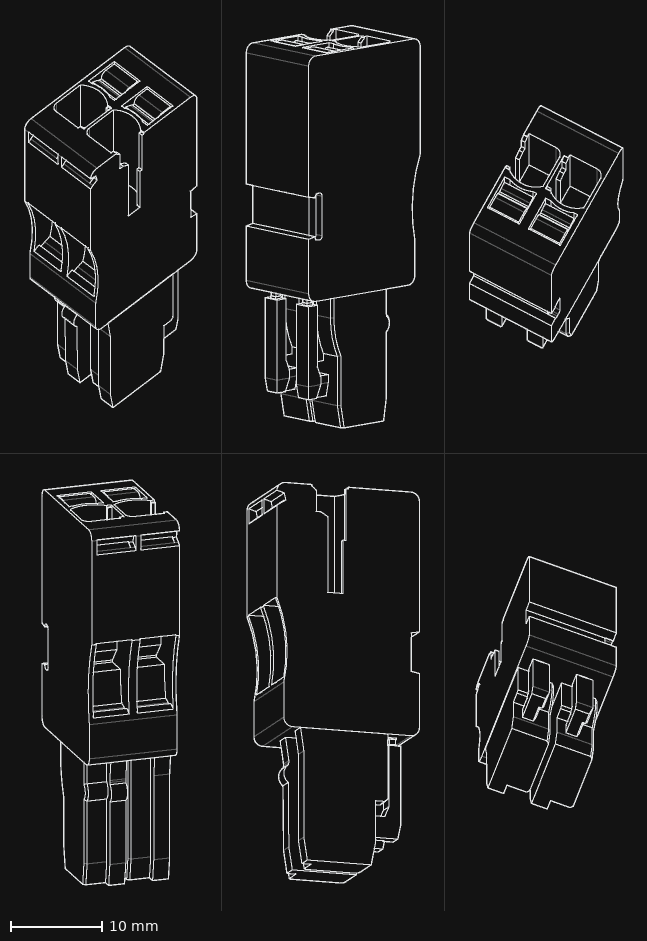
import cadquery as cq


POLES = 2
PITCH = 5.1
WIDTH = POLES * PITCH
DEPTH = 16.5
HEIGHT = 27.4
LEG_LENGTH = 14.85
CORNER_RADIUS = 1.0

HOLLOW_TOP = 14.4
HOLLOW_BOTTOM = 4.95
HOLLOW_DEEPEST = (1.18, 8.2)
LOWER_FRONT_Y = 0.8

NOTCH_FLOOR_Y = 15.55
NOTCH_TOP = 11.57
NOTCH_BOTTOM = 7.25
NOTCH_FLARE = 0.18
SIDE_POCKET_WIDTH = 1.05
SIDE_POCKET_OVERRUN = 0.45
SIDE_POCKET_DEPTH = 1.0
SIDE_POCKET_RADIUS = 0.4

ENTRY_LEFT = 0.4
ENTRY_RIGHT = 4.62
ENTRY_FRONT_Y = 3.67
ENTRY_SHOULDER_Y = 8.25
ENTRY_CROWN_Y = 9.07
ENTRY_CORNER_RADIUS = 0.85
ENTRY_DEPTH = 12.0
ARCH_RADIUS = 3.5
ARCH_CENTRE_Y = 6.1

RECESS_RIGHT = 5.15
RECESS_FRONT_Y = 4.05
RECESS_REAR_Y = 8.3
REAR_RIB_DROP = 0.2
REAR_RIB_STEP_DROP = 6.0
REAR_RIB_Y = 7.65
REAR_RIB_STEP_Y = 8.0
FRONT_RIB_DROP = 0.15
FRONT_RIB_STEP_FRONT_Y = 4.58
FRONT_RIB_STEP_REAR_Y = 5.08
FRONT_RIB_REAR_Y = 5.9
FRONT_RIB_STEP_DROP = 3.0
FRONT_RIB_SLOPE_FALL = 0.5

WELL_LEFT = 0.64
WELL_WIDTH = 3.96
WELL_FRONT_Y = 9.3
WELL_REAR_Y = 13.27
WELL_DEPTH = 6.0
BUTTON_GAP = 0.18
BUTTON_FRONT_Y = 9.75
BUTTON_DROP = 0.1
BUTTON_LIP_Y = 11.82
BUTTON_LIP_RADIUS = 0.75
BUTTON_GROOVE_Y = 10.8
BUTTON_GROOVE_DROP = 0.95
BUTTON_STEP_Y = 10.45
BUTTON_STEP_DROP = 0.7
BUTTON_FRONT_DROP = 0.4

MARKER_LEFT = 0.62
MARKER_TOP_DROP = 0.95
MARKER_CEILING_FALL = 0.25
MARKER_WALL_TOP_Y = 0.85
MARKER_WALL_Y = 1.0
MARKER_WALL_DROP = 1.88
MARKER_KINK_Y = 0.35
MARKER_KINK_DROP = 2.37
MARKER_BOTTOM_DROP = 2.66
MARKER_END_EXTRA = 0.1

WINDOW_LEFT = 0.53
WINDOW_WIDTH = 4.15
WINDOW_TOP = 14.5
WINDOW_BACK_Y = 5.0
WINDOW_UNDERCUT_Y = 6.5
WINDOW_UNDERCUT_TOP = 11.78
WINDOW_UNDERCUT_BOTTOM = 10.1
WINDOW_LEDGE_Z = 9.87
WINDOW_LEDGE_Y = 3.85
WINDOW_CURVE_MIDDLE = (3.75, 8.0)
WINDOW_CURVE_END = (3.4, 6.1)
WINDOW_SHELF_Y = 2.6
WINDOW_SHELF_Z = 5.85
WINDOW_GROOVE_Y = 1.75
WINDOW_GROOVE_Z = 5.45
WINDOW_SILL_TOP = 6.02
WINDOW_SILL_MIDDLE = (1.3, 5.85)
WINDOW_SILL = 5.5

LEG_LEFT = 0.65
LEG_SPLIT = 3.2
LEG_RIGHT = 5.05
LEG_CHAMFER = 0.27
LEG_ROOT = 1.0
PLATE_FRONT_Y = 4.17
BLOCK_FRONT_Y = 3.13
BLOCK_ROOT_FRONT_Y = 2.75
BLOCK_ROOT_TAPER_END = -2.6
TIP_TAPER_START = -12.3
TIP_TAPER = 0.4
LEG_REAR_Y = 11.43
LEG_ROOT_REAR_Y = 12.45
REAR_CURVE_START = -2.4
REAR_CURVE_MIDDLE = (12.2, -4.6)
REAR_CURVE_END = -6.8
REAR_TIP_TAPER = 0.49
BUMP_Z = -4.05
BUMP_HALF_HEIGHT = 1.0
BUMP_RISE_ON_BLOCK = 0.51
BUMP_RISE_ON_PLATE = 0.45
BUMP_FLARE_TOP = -2.82
BUMP_FLARE = 0.06
HEEL_REAR_Y = 12.86
HEEL_BOTTOM = -7.6
HEEL_CHAMFER = 0.3

TAB_LEFT = 2.05
TAB_RIGHT = 4.0
TAB_REAR_Y = 14.7
TAB_FRONT_Y = 13.34
TAB_FOOT_FRONT_Y = 12.85
TAB_TOP = -1.0
TAB_KNEE = -7.9
TAB_ARM_TOP = -9.04
TAB_TAPER_START = -9.93
TAB_BOTTOM = -11.47
TAB_TAPER = 0.33
TAB_ARM_LEFT = 2.4
NECK_Y = 13.97
NECK_WIDTH = 0.68
NECK_COLLAR_WIDTH = 0.84
NECK_COLLAR_HEIGHT = 0.25
NECK_TOP_COLLAR_HEIGHT = 0.15

OVERCUT = 1.0


def prism(points, left, right):
    """Polygon of (y, z) points extruded from x = left to x = right."""
    return cq.Workplane("YZ", origin=(left, 0, 0)).polyline(points).close().extrude(right - left)


def box(x_range, y_range, z_range):
    size = [high - low for low, high in (x_range, y_range, z_range)]
    corner = (x_range[0], y_range[0], z_range[0])
    return cq.Workplane("XY").box(*size, centered=False).translate(corner)


def housing_block():
    block = (
        cq.Workplane("YZ")
        .moveTo(0, HEIGHT)
        .lineTo(0, HOLLOW_TOP)
        .threePointArc(HOLLOW_DEEPEST, (LOWER_FRONT_Y, HOLLOW_BOTTOM))
        .lineTo(LOWER_FRONT_Y, 0)
        .lineTo(DEPTH, 0)
        .lineTo(DEPTH, HEIGHT)
        .close()
        .extrude(WIDTH)
    )
    return block.edges("|X").edges(">Z or <Z").fillet(CORNER_RADIUS)


def rear_notch():
    return prism(
        [
            (DEPTH, NOTCH_TOP + NOTCH_FLARE),
            (NOTCH_FLOOR_Y, NOTCH_TOP),
            (NOTCH_FLOOR_Y, NOTCH_BOTTOM),
            (DEPTH, NOTCH_BOTTOM - NOTCH_FLARE),
        ],
        0,
        WIDTH,
    )


def side_pocket():
    pocket = box(
        (0, SIDE_POCKET_DEPTH),
        (NOTCH_FLOOR_Y - SIDE_POCKET_WIDTH, NOTCH_FLOOR_Y),
        (NOTCH_BOTTOM - SIDE_POCKET_OVERRUN, NOTCH_TOP + SIDE_POCKET_OVERRUN),
    )
    return pocket.edges("|X").fillet(SIDE_POCKET_RADIUS)


def wire_entry():
    middle = (ENTRY_LEFT + ENTRY_RIGHT) / 2
    hole = (
        cq.Workplane("XY", origin=(0, 0, HEIGHT - ENTRY_DEPTH))
        .moveTo(ENTRY_LEFT, ENTRY_FRONT_Y)
        .lineTo(ENTRY_LEFT, ENTRY_SHOULDER_Y)
        .threePointArc((middle, ENTRY_CROWN_Y), (ENTRY_RIGHT, ENTRY_SHOULDER_Y))
        .lineTo(ENTRY_RIGHT, ENTRY_FRONT_Y)
        .close()
        .extrude(ENTRY_DEPTH)
        .edges("|Z and <X and <Y")
        .fillet(ENTRY_CORNER_RADIUS)
    )
    recess = box(
        (ENTRY_RIGHT, RECESS_RIGHT),
        (RECESS_FRONT_Y, RECESS_REAR_Y),
        (HEIGHT - ENTRY_DEPTH, HEIGHT),
    )
    return hole.union(recess.cut(recess_ribs()))


def recess_ribs():
    floor = HEIGHT - ENTRY_DEPTH
    rear_crest = HEIGHT - REAR_RIB_DROP
    rear_rib = prism(
        [
            (REAR_RIB_Y, floor),
            (REAR_RIB_Y, HEIGHT - REAR_RIB_STEP_DROP),
            (REAR_RIB_STEP_Y, HEIGHT - REAR_RIB_STEP_DROP),
            (REAR_RIB_STEP_Y, rear_crest),
            (RECESS_REAR_Y, rear_crest),
            (RECESS_REAR_Y, floor),
        ],
        ENTRY_RIGHT,
        RECESS_RIGHT,
    )
    front_crest = HEIGHT - FRONT_RIB_DROP
    step = HEIGHT - FRONT_RIB_STEP_DROP
    front_rib = prism(
        [
            (RECESS_FRONT_Y, floor),
            (RECESS_FRONT_Y, front_crest),
            (FRONT_RIB_STEP_FRONT_Y, front_crest - FRONT_RIB_SLOPE_FALL),
            (FRONT_RIB_STEP_FRONT_Y, step),
            (FRONT_RIB_STEP_REAR_Y, step),
            (FRONT_RIB_REAR_Y, step - FRONT_RIB_SLOPE_FALL),
            (FRONT_RIB_REAR_Y, floor),
        ],
        ENTRY_RIGHT,
        RECESS_RIGHT,
    )
    return rear_rib.union(front_rib)


def button_well():
    well = box(
        (WELL_LEFT, WELL_LEFT + WELL_WIDTH),
        (WELL_FRONT_Y, WELL_REAR_Y),
        (HEIGHT - WELL_DEPTH, HEIGHT),
    )
    arch_wall = (
        cq.Workplane("XY", origin=((ENTRY_LEFT + ENTRY_RIGHT) / 2, ARCH_CENTRE_Y, HEIGHT - WELL_DEPTH))
        .circle(ARCH_RADIUS)
        .extrude(WELL_DEPTH)
    )
    return well.cut(arch_wall)


def marker_profile(extra_depth):
    """Section of the marker slot, its leaning back wall reaching extra_depth further down."""
    top = HEIGHT - MARKER_TOP_DROP
    wall_top = top - MARKER_CEILING_FALL
    wall_bottom = HEIGHT - MARKER_WALL_DROP
    lean = (MARKER_WALL_Y - MARKER_WALL_TOP_Y) / (wall_top - wall_bottom)
    return [
        (-OVERCUT, top),
        (0, top),
        (MARKER_WALL_TOP_Y, wall_top),
        (MARKER_WALL_Y + lean * extra_depth, wall_bottom - extra_depth),
        (MARKER_KINK_Y, HEIGHT - MARKER_KINK_DROP),
        (0, HEIGHT - MARKER_BOTTOM_DROP),
        (-OVERCUT, HEIGHT - MARKER_BOTTOM_DROP),
    ]


def marker_slot():
    slot = prism(marker_profile(0), MARKER_LEFT, ENTRY_RIGHT)
    return slot.union(prism(marker_profile(MARKER_END_EXTRA), ENTRY_RIGHT, RECESS_RIGHT))


def front_window():
    return (
        cq.Workplane("YZ", origin=(WINDOW_LEFT, 0, 0))
        .moveTo(-OVERCUT, WINDOW_TOP)
        .lineTo(WINDOW_BACK_Y, WINDOW_TOP)
        .lineTo(WINDOW_BACK_Y, WINDOW_UNDERCUT_TOP)
        .lineTo(WINDOW_UNDERCUT_Y, WINDOW_UNDERCUT_BOTTOM)
        .lineTo(WINDOW_UNDERCUT_Y, WINDOW_LEDGE_Z)
        .lineTo(WINDOW_LEDGE_Y, WINDOW_LEDGE_Z)
        .threePointArc(WINDOW_CURVE_MIDDLE, WINDOW_CURVE_END)
        .lineTo(WINDOW_SHELF_Y, WINDOW_SHELF_Z)
        .lineTo(WINDOW_GROOVE_Y, WINDOW_GROOVE_Z)
        .lineTo(WINDOW_GROOVE_Y, WINDOW_SILL_TOP)
        .threePointArc(WINDOW_SILL_MIDDLE, (LOWER_FRONT_Y, WINDOW_SILL))
        .lineTo(-OVERCUT, WINDOW_SILL)
        .close()
        .extrude(WINDOW_WIDTH)
    )


def add_bump(outline, front_y, rise):
    """Continues a front edge running down at front_y with a rounded bump."""
    return outline.lineTo(front_y, BUMP_Z + BUMP_HALF_HEIGHT).threePointArc(
        (front_y - rise, BUMP_Z), (front_y, BUMP_Z - BUMP_HALF_HEIGHT)
    )


def leg_plate(has_bump):
    outline = cq.Workplane("YZ", origin=(LEG_LEFT, 0, 0)).moveTo(PLATE_FRONT_Y, LEG_ROOT)
    if has_bump:
        outline = add_bump(outline, PLATE_FRONT_Y, BUMP_RISE_ON_PLATE)
    plate = (
        outline.lineTo(PLATE_FRONT_Y, TIP_TAPER_START)
        .lineTo(PLATE_FRONT_Y + TIP_TAPER, -LEG_LENGTH)
        .lineTo(LEG_REAR_Y - REAR_TIP_TAPER, -LEG_LENGTH)
        .lineTo(LEG_REAR_Y, TIP_TAPER_START)
        .lineTo(LEG_REAR_Y, REAR_CURVE_END)
        .threePointArc(REAR_CURVE_MIDDLE, (LEG_ROOT_REAR_Y, REAR_CURVE_START))
        .lineTo(LEG_ROOT_REAR_Y, LEG_ROOT)
        .close()
        .extrude(LEG_SPLIT - LEG_LEFT)
    )
    return plate.faces("<X").edges("not |Y").chamfer(LEG_CHAMFER)


def leg_block(has_bump):
    outline = (
        cq.Workplane("YZ", origin=(LEG_SPLIT, 0, 0))
        .moveTo(BLOCK_ROOT_FRONT_Y, LEG_ROOT)
        .lineTo(BLOCK_ROOT_FRONT_Y, 0)
        .lineTo(BLOCK_FRONT_Y, BLOCK_ROOT_TAPER_END)
    )
    if has_bump:
        outline = outline.lineTo(BLOCK_FRONT_Y, BUMP_FLARE_TOP)
        outline = add_bump(outline, BLOCK_FRONT_Y - BUMP_FLARE, BUMP_RISE_ON_BLOCK)
    return (
        outline.lineTo(BLOCK_FRONT_Y, TIP_TAPER_START)
        .lineTo(BLOCK_FRONT_Y + TIP_TAPER, -LEG_LENGTH)
        .lineTo(LEG_REAR_Y - REAR_TIP_TAPER, -LEG_LENGTH)
        .lineTo(LEG_REAR_Y, TIP_TAPER_START)
        .lineTo(LEG_REAR_Y, HEEL_BOTTOM)
        .lineTo(HEEL_REAR_Y - HEEL_CHAMFER, HEEL_BOTTOM)
        .lineTo(HEEL_REAR_Y, HEEL_BOTTOM + HEEL_CHAMFER)
        .lineTo(HEEL_REAR_Y, LEG_ROOT)
        .close()
        .extrude(LEG_RIGHT - LEG_SPLIT)
    )


def slanted_left_cut(left):
    """Wedge that slants the left side of the tab's foot, which starts at x = left."""
    return (
        cq.Workplane("XZ", origin=(0, TAB_REAR_Y, 0))
        .polyline([(left, TAB_TAPER_START), (left + TAB_TAPER, TAB_BOTTOM), (left, TAB_BOTTOM)])
        .close()
        .extrude(TAB_REAR_Y - LEG_REAR_Y)
    )


def coding_tab():
    tab = prism(
        [
            (TAB_REAR_Y, TAB_TOP),
            (TAB_FRONT_Y, TAB_TOP),
            (TAB_FRONT_Y, TAB_KNEE),
            (TAB_FOOT_FRONT_Y, TAB_ARM_TOP),
            (TAB_FOOT_FRONT_Y, TAB_TAPER_START),
            (TAB_FOOT_FRONT_Y + TAB_TAPER, TAB_BOTTOM),
            (TAB_REAR_Y - TAB_TAPER, TAB_BOTTOM),
            (TAB_REAR_Y, TAB_TAPER_START),
        ],
        TAB_LEFT,
        TAB_RIGHT,
    ).cut(slanted_left_cut(TAB_LEFT))
    arm = box(
        (TAB_ARM_LEFT, TAB_RIGHT),
        (LEG_REAR_Y - REAR_TIP_TAPER, TAB_FRONT_Y),
        (TAB_BOTTOM, TAB_ARM_TOP),
    ).cut(slanted_left_cut(TAB_ARM_LEFT))
    middle = (TAB_LEFT + TAB_RIGHT) / 2
    neck_parts = [
        (NECK_WIDTH, TAB_TOP, 0),
        (NECK_COLLAR_WIDTH, TAB_TOP, TAB_TOP + NECK_COLLAR_HEIGHT),
        (NECK_COLLAR_WIDTH, -NECK_TOP_COLLAR_HEIGHT, 0),
    ]
    tab = tab.union(arm)
    for width, bottom, top in neck_parts:
        half = width / 2
        tab = tab.union(box((middle - half, middle + half), (NECK_Y - half, NECK_Y + half), (bottom, top)))
    return tab


def make_housing():
    housing = housing_block().cut(rear_notch()).cut(side_pocket())
    for pole in range(POLES):
        shift = (pole * PITCH, 0, 0)
        for opening in (wire_entry(), button_well(), marker_slot(), front_window()):
            housing = housing.cut(opening.translate(shift))
        has_bump = pole == 0
        for feature in (leg_plate(has_bump), leg_block(has_bump), coding_tab()):
            housing = housing.union(feature.translate(shift))
    return housing


def make_button():
    """Push button standing on the floor of its well, with a driver groove across its top."""
    top = HEIGHT - BUTTON_DROP
    floor = HEIGHT - WELL_DEPTH
    rear_y = WELL_REAR_Y - BUTTON_GAP
    lip_y = BUTTON_LIP_Y - BUTTON_LIP_RADIUS
    return (
        cq.Workplane("YZ", origin=(WELL_LEFT + BUTTON_GAP, 0, 0))
        .moveTo(BUTTON_FRONT_Y, floor)
        .lineTo(BUTTON_FRONT_Y, HEIGHT - BUTTON_FRONT_DROP)
        .lineTo(BUTTON_STEP_Y, HEIGHT - BUTTON_STEP_DROP)
        .lineTo(BUTTON_GROOVE_Y, HEIGHT - BUTTON_GROOVE_DROP)
        .lineTo(lip_y, HEIGHT - BUTTON_GROOVE_DROP)
        .lineTo(lip_y, top - BUTTON_LIP_RADIUS)
        .radiusArc((BUTTON_LIP_Y, top), BUTTON_LIP_RADIUS)
        .lineTo(rear_y, top)
        .lineTo(rear_y, floor)
        .close()
        .extrude(WELL_WIDTH - 2 * BUTTON_GAP)
    )


housing = make_housing()
buttons = [make_button().translate((pole * PITCH, 0, 0)) for pole in range(POLES)]

result = cq.Compound.makeCompound([housing.val(), *[button.val() for button in buttons]])